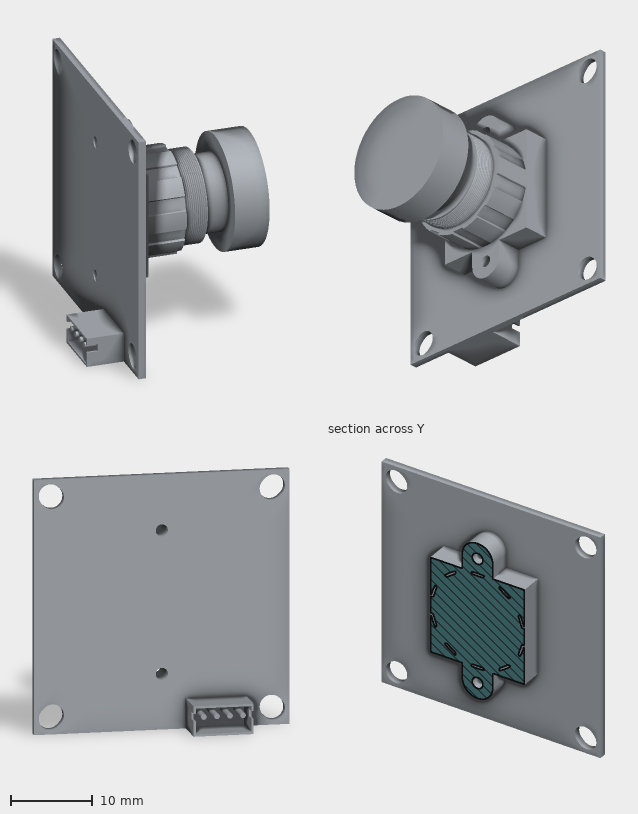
import cadquery as cq
import math


board_side = 32.0
board_thickness = 1.0
corner_slot_offset = 13.82
corner_slot_width = 2.88
corner_slot_length = 3.25
screw_spacing = 18.0
screw_hole_diameter = 1.5

socket_width = 7.52
socket_height = 3.8
socket_depth = 4.8
socket_center_x = 6.75
socket_wall = 0.3
notch_height = 0.95
notch_depth = 1.45
notch_center_above_bottom = 2.4
pin_count = 4
pin_pitch = 1.63
pin_diameter = 0.7
pin_tip_recess = 0.1

base_side = 13.75
base_thickness = 3.52
lug_width = 4.5
barrel_diameter = base_side
barrel_length = 4.95
flute_count = 10
flute_floor_radius = 6.55
flute_floor_width = 1.6
flute_mouth_width = 1.9
flute_depth_into_base = 0.5

thread_diameter = 12.0
thread_length = 3.05
thread_pitch = 0.25
thread_end_margin = 0.13
groove_width = 0.2
groove_depth = 0.13
groove_clearance = 0.03
neck_diameter = 10.0
neck_length = 3.0
cap_diameter = 15.0
cap_length = 4.48

base_start = board_thickness
barrel_start = base_start + base_thickness
thread_start = barrel_start + barrel_length
neck_start = thread_start + thread_length
cap_start = neck_start + neck_length

screw_points = [(0, screw_spacing / 2), (0, -screw_spacing / 2)]


def plane_at(y):
    """Workplane at height y along the lens axis: local x is X, local y is Z, extrusion goes to -Y."""
    return cq.Workplane("XZ", origin=(0, y, 0))


def disc(diameter, start, length):
    """Cylinder on the lens axis, from start towards +Y."""
    return plane_at(start).circle(diameter / 2).extrude(-length)


def make_board_plate():
    plate = plane_at(0).rect(board_side, board_side).extrude(-board_thickness)
    for side_x in (-1, 1):
        for side_z in (-1, 1):
            slot = (
                plane_at(0)
                .center(side_x * corner_slot_offset, side_z * corner_slot_offset)
                .slot2D(corner_slot_length, corner_slot_width, 45 * side_x * side_z)
                .extrude(-board_thickness)
            )
            plate = plate.cut(slot)
    screw_holes = plane_at(0).pushPoints(screw_points).circle(screw_hole_diameter / 2).extrude(-board_thickness)
    return plate.cut(screw_holes)


def make_socket():
    bottom_z = -board_side / 2
    center_z = bottom_z + socket_height / 2
    notch_z = bottom_z + notch_center_above_bottom
    cavity_depth = socket_depth - socket_wall

    shell = plane_at(0).center(socket_center_x, center_z).rect(socket_width, socket_height).extrude(socket_depth)
    cavity = (
        plane_at(-socket_wall)
        .center(socket_center_x, center_z)
        .rect(socket_width - 2 * socket_wall, socket_height - 2 * socket_wall)
        .extrude(cavity_depth)
    )
    notches = (
        plane_at(notch_depth - socket_depth)
        .center(socket_center_x, notch_z)
        .rect(socket_width, notch_height)
        .extrude(notch_depth)
    )
    pins = (
        plane_at(0)
        .center(socket_center_x, notch_z)
        .rarray(pin_pitch, 0.32, pin_count, 1)
        .circle(pin_diameter / 2)
        .extrude(socket_depth - pin_tip_recess)
    )
    return shell.cut(cavity).cut(notches).union(pins)


def make_flute():
    """Cutter for one flat-floored flute with flared sides, trimmed to the barrel's round outline."""
    mouth_radius = math.sqrt((barrel_diameter / 2) ** 2 - (flute_mouth_width / 2) ** 2)
    outer_radius = 2 * mouth_radius - flute_floor_radius
    outer_width = 2 * flute_mouth_width - flute_floor_width
    length = flute_depth_into_base + barrel_length
    start = barrel_start - flute_depth_into_base
    wedge = (
        plane_at(start)
        .moveTo(-flute_floor_width / 2, flute_floor_radius)
        .lineTo(flute_floor_width / 2, flute_floor_radius)
        .lineTo(outer_width / 2, outer_radius)
        .lineTo(-outer_width / 2, outer_radius)
        .close()
        .extrude(-length)
    )
    return wedge.intersect(disc(barrel_diameter, start, length))


def make_holder():
    base = plane_at(base_start).rect(base_side, base_side).extrude(-base_thickness)
    lugs = plane_at(base_start).slot2D(screw_spacing + lug_width, lug_width, 90).extrude(-base_thickness)
    holder = base.union(lugs).union(disc(barrel_diameter, barrel_start, barrel_length))

    flute = make_flute()
    for index in range(flute_count):
        holder = holder.cut(flute.rotate((0, 0, 0), (0, 1, 0), index * 360 / flute_count))

    screw_holes = (
        plane_at(base_start).pushPoints(screw_points).circle(screw_hole_diameter / 2).extrude(-base_thickness)
    )
    return holder.cut(screw_holes)


def make_board():
    """Circuit board and the lens holder on its back, as one solid."""
    return make_holder().union(make_board_plate())


def make_thread():
    """Rod with a helical V groove that stops just short of both ends."""
    radius = thread_diameter / 2
    helix = cq.Wire.makeHelix(thread_pitch, thread_length - 2 * thread_end_margin, radius)
    outer_half_width = groove_width / 2 * (groove_depth + groove_clearance) / groove_depth
    groove = (
        cq.Workplane("XZ", origin=(radius, 0, 0))
        .moveTo(-groove_depth, 0)
        .lineTo(groove_clearance, outer_half_width)
        .lineTo(groove_clearance, -outer_half_width)
        .close()
        .sweep(cq.Workplane(helix), isFrenet=True)
        .translate((0, 0, thread_end_margin))
    )
    rod = cq.Workplane("XY").circle(radius).extrude(thread_length)
    return rod.cut(groove).rotate((0, 0, 0), (1, 0, 0), -90).translate((0, thread_start, 0))


def make_lens():
    neck = disc(neck_diameter, neck_start, neck_length)
    cap = disc(cap_diameter, cap_start, cap_length)
    return make_thread().union(neck).union(cap)


socket = make_socket()
board = make_board()
lens = make_lens()

result = cq.Compound.makeCompound([*socket.solids().vals(), *board.solids().vals(), *lens.solids().vals()])